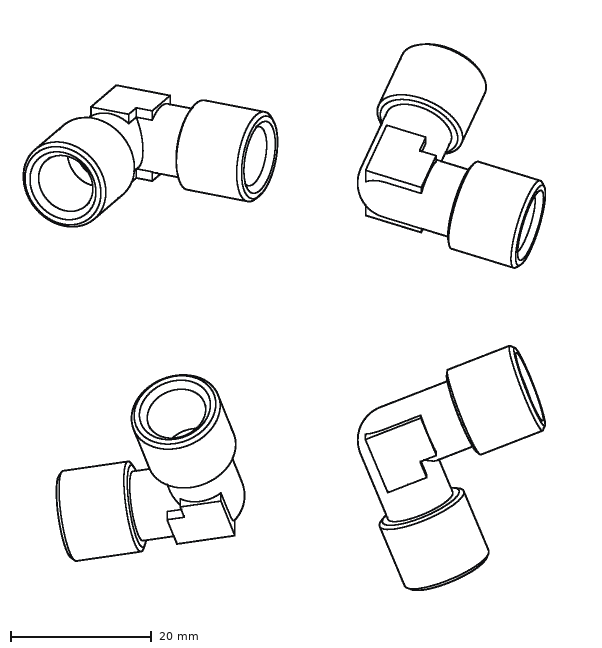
import cadquery as cq
import math

overall_length = 27.5
collar_diameter = 13.0
tube_diameter = 10.0
collar_radius = collar_diameter / 2
tube_radius = tube_diameter / 2
arm_length = overall_length - collar_radius

collar_length = 10.5
collar_start = arm_length - collar_length
end_chamfer = 0.52
back_chamfer_length = 0.35
back_chamfer_height = 0.6
back_slope_length = 0.15

mouth_radius = 10.4 / 2
socket_radius = 8.55 / 2
bore_radius = 6.0 / 2
mouth_depth = mouth_radius - socket_radius
socket_depth = 10.5
drill_half_angle = math.radians(60)

pad_width = 5.97
pad_half_width = pad_width / 2
pad_reach = 5.5
pad_half_height = 5.47


def drill_point_length(radius):
    return radius / math.tan(drill_half_angle)


def revolve_about_x(points):
    return cq.Workplane("XY").polyline(points).close().revolve(360, (0, 0, 0), (1, 0, 0))


def arm_body():
    back_slope_end = collar_start + back_slope_length
    return revolve_about_x([
        (0, 0),
        (0, tube_radius),
        (collar_start, tube_radius),
        (back_slope_end, collar_radius - back_chamfer_height),
        (back_slope_end + back_chamfer_length, collar_radius),
        (arm_length - end_chamfer, collar_radius),
        (arm_length, collar_radius - end_chamfer),
        (arm_length, 0),
    ])


def arm_bore():
    socket_bottom = arm_length - socket_depth
    cone_end = socket_bottom - drill_point_length(socket_radius) + drill_point_length(bore_radius)
    return revolve_about_x([
        (-drill_point_length(bore_radius), 0),
        (0, bore_radius),
        (cone_end, bore_radius),
        (socket_bottom, socket_radius),
        (arm_length - mouth_depth, socket_radius),
        (arm_length, mouth_radius),
        (arm_length, 0),
    ])


def corner_pads():
    outline = [
        (-pad_half_width, pad_half_width),
        (pad_reach, pad_half_width),
        (pad_reach, -pad_half_width),
        (pad_half_width, -pad_half_width),
        (pad_half_width, -pad_reach),
        (-pad_half_width, -pad_reach),
    ]
    return cq.Workplane("XY").polyline(outline).close().extrude(pad_half_height, both=True)


def turn_to_second_arm(shape):
    return shape.rotate((0, 0, 0), (0, 0, 1), -90)


body = cq.Workplane("XY").sphere(tube_radius)
body = body.union(arm_body()).union(turn_to_second_arm(arm_body()))
body = body.union(corner_pads())
result = body.cut(arm_bore()).cut(turn_to_second_arm(arm_bore()))